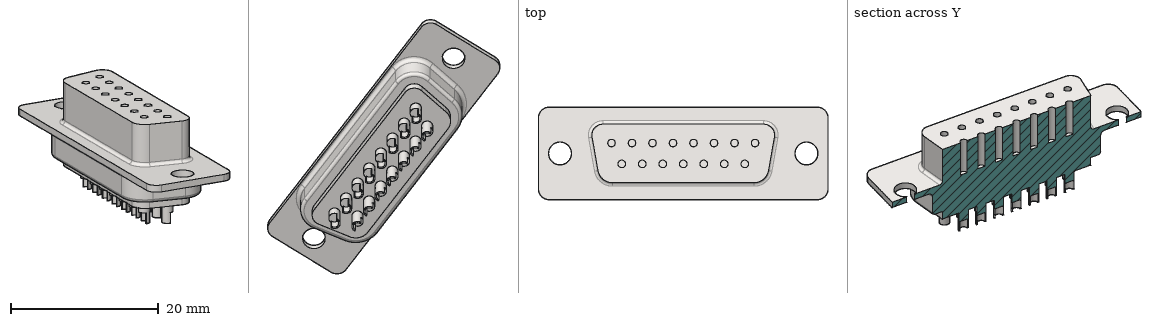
import cadquery as cq
import math

flange_length = 39.2
flange_width = 12.55
flange_thickness = 0.98
flange_corner_radius = 1.5
mount_hole_diameter = 3.05
mount_hole_spacing = 33.32

shell_length = 24.7
shell_width = 7.9
shell_side_angle = 10.0
wide_corner_radius = 1.5
narrow_corner_radius = 2.0
shell_height = 5.88
shell_base_radius = 0.47

can_growth = 1.55
can_height = 3.8
can_root_radius = 0.6
can_edge_radius = 0.47
insulator_height = 1.3

wide_row_count = 8
narrow_row_count = 7
wide_row_span = 19.4
contact_pitch = wide_row_span / (wide_row_count - 1)
row_spacing = 2.82
socket_diameter = 1.0
socket_depth = 5.5
cup_diameter = 1.53
cup_bore_diameter = 1.15
cup_length = 3.05
cup_collar_length = 1.53
cup_cut_offset = 0.08

flange_top = flange_thickness
shell_top = flange_top + shell_height
can_bottom = -can_height
insulator_bottom = can_bottom - insulator_height
cup_bottom = insulator_bottom - cup_length
root_overlap = 0.4


def d_outline(growth, z):
    """D outline at height z, offset outwards by growth, wide side towards +Y."""
    slope = math.radians(shell_side_angle)
    cos_a = math.cos(slope)
    sin_a = math.sin(slope)

    wide_x = shell_length / 2 - wide_corner_radius
    wide_y = shell_width / 2 - wide_corner_radius
    narrow_y = narrow_corner_radius - shell_width / 2
    radius_change = wide_corner_radius - narrow_corner_radius
    narrow_x = wide_x + (radius_change - (wide_y - narrow_y) * sin_a) / cos_a

    wide_r = wide_corner_radius + growth
    narrow_r = narrow_corner_radius + growth

    def on_arc(x, y, radius, degrees):
        angle = math.radians(degrees)
        return (x + radius * math.cos(angle), y + radius * math.sin(angle))

    def mirrored(point):
        return (-point[0], point[1])

    wide_start = on_arc(wide_x, wide_y, wide_r, 90)
    wide_middle = on_arc(wide_x, wide_y, wide_r, 45 - shell_side_angle / 2)
    wide_end = on_arc(wide_x, wide_y, wide_r, -shell_side_angle)
    narrow_start = on_arc(narrow_x, narrow_y, narrow_r, -shell_side_angle)
    narrow_middle = on_arc(narrow_x, narrow_y, narrow_r, -45 - shell_side_angle / 2)
    narrow_end = on_arc(narrow_x, narrow_y, narrow_r, -90)

    return (
        cq.Workplane("XY", origin=(0, 0, z))
        .moveTo(*mirrored(wide_start))
        .lineTo(*wide_start)
        .threePointArc(wide_middle, wide_end)
        .lineTo(*narrow_start)
        .threePointArc(narrow_middle, narrow_end)
        .lineTo(*mirrored(narrow_end))
        .threePointArc(mirrored(narrow_middle), mirrored(narrow_start))
        .lineTo(*mirrored(wide_end))
        .threePointArc(mirrored(wide_middle), mirrored(wide_start))
        .close()
    )


def row_points(count, y):
    """Evenly pitched contact positions, centred on X = 0."""
    first_x = -(count - 1) * contact_pitch / 2
    return [(first_x + i * contact_pitch, y) for i in range(count)]


def solder_cup(x, y):
    """Bored pin below the insulator; its outward side is cut away below the collar."""
    cut_length = cup_length - cup_collar_length
    pin = (
        cq.Workplane("XY", origin=(x, y, cup_bottom))
        .circle(cup_diameter / 2)
        .extrude(cup_length + root_overlap)
    )
    bore = (
        cq.Workplane("XY", origin=(x, y, cup_bottom))
        .circle(cup_bore_diameter / 2)
        .extrude(cut_length)
    )
    outward = math.copysign(cup_cut_offset + cup_diameter / 2, y)
    open_side = cq.Workplane("XY", origin=(x, y + outward, cup_bottom)).box(
        cup_diameter, cup_diameter, cut_length, centered=(True, True, False)
    )
    return pin.cut(bore).cut(open_side)


wide_row = row_points(wide_row_count, row_spacing / 2)
narrow_row = row_points(narrow_row_count, -row_spacing / 2)
contacts = wide_row + narrow_row

flange = (
    cq.Workplane("XY")
    .rect(flange_length, flange_width)
    .extrude(flange_thickness)
    .edges("|Z")
    .fillet(flange_corner_radius)
)

shell = d_outline(0, 0).extrude(shell_top)
can = d_outline(can_growth, can_bottom).extrude(can_height)
can = can.faces("<Z").edges().fillet(can_edge_radius)
insulator = d_outline(0, insulator_bottom).extrude(insulator_height + root_overlap)
body = flange.union(shell).union(can)

selection_margin = 0.05
outline_half_length = shell_length / 2 + can_growth + selection_margin
outline_half_width = shell_width / 2 + can_growth + selection_margin


def root_edges(z):
    """Selector for the edges at height z that follow the D outline."""
    return cq.selectors.BoxSelector(
        (-outline_half_length, -outline_half_width, z - selection_margin),
        (outline_half_length, outline_half_width, z + selection_margin),
    )


body = body.edges(root_edges(flange_top)).fillet(shell_base_radius)
body = body.edges(root_edges(0)).fillet(can_root_radius)
body = body.union(insulator)

body = (
    body.faces(">Z")
    .workplane(origin=(0, 0, 0))
    .pushPoints([(-mount_hole_spacing / 2, 0), (mount_hole_spacing / 2, 0)])
    .circle(mount_hole_diameter / 2)
    .cutThruAll()
)

sockets = (
    cq.Workplane("XY", origin=(0, 0, shell_top))
    .pushPoints(contacts)
    .circle(socket_diameter / 2)
    .extrude(-socket_depth)
)
body = body.cut(sockets)

for contact_x, contact_y in contacts:
    body = body.union(solder_cup(contact_x, contact_y))

result = body